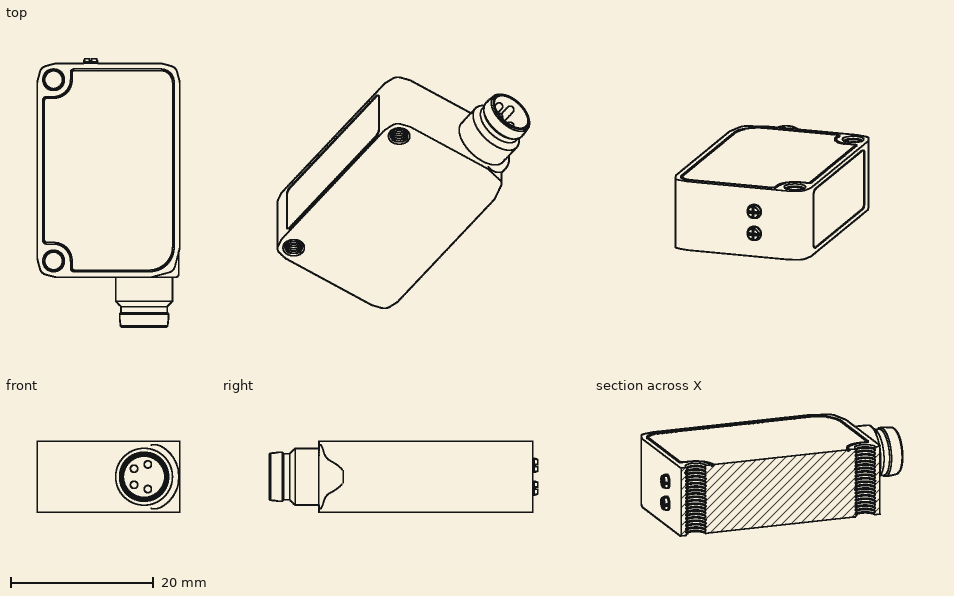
import cadquery as cq
import math

overall_length = 37.65
body_width = 20.0
body_length = 30.0
body_height = 10.0
facet_angle = math.radians(15)
facet_reach = 2.55
connector_facet_reach = 4.05
corner_radius = 1.15
facet_blend_radius = 1.0

left = -body_width / 2
right = body_width / 2
front = -body_length / 2
back = body_length / 2
top = body_height / 2

hole_inset = 2.3
thread_minor_radius = 1.25
thread_major_radius = 1.5
thread_pitch = 0.5
hole_centers = [(left + hole_inset, y) for y in (front + hole_inset, back - hole_inset)]

lid_inset = 0.8
groove_width = 0.23
groove_depth = 0.2
lid_back_radius = 1.9
lid_front_radius = 3.45
lid_notch_radius = 2.37
lid_tip_radius = 0.53

window_length = 22.2
window_height = 8.6
window_center_y = 0.1
window_corner_radius = 0.8
window_depth = 0.1

connector_x = right - body_height / 2
collar_radius = 4.9
collar_depth = 3.4
collar_round = 0.5
barrel_radius = 4.0
neck_radius = 3.255
ring_radius = 3.445
tip_radius = 3.3
rim_radius = 3.12
bore_radius = 2.9
barrel_end = 3.35
neck_start = 4.1
neck_end = 4.95
ring_start = 5.15
ring_end = 5.72
tip_end = 6.78
screw_head_height = 0.68
connector_length = overall_length - body_length - screw_head_height
bore_depth = 3.95

pin_radius = 0.51
pin_circle_radius = 1.8
pin_recess = 0.45
pin_angles = [73, 141, -141, -73]

screw_x = left + 7.5
screw_spacing = 3.2
screw_radius = 0.998
screw_top_radius = 0.83
screw_rim_height = 0.2
slot_width = 0.25
slot_depth = 0.35


def vertical_edges_at(solid, points):
    """Select the vertical edges of a prism that pass through the given XY points."""
    picked = solid.edges("|Z")
    return picked.filter(
        lambda edge: any(math.dist(edge.Center().toTuple()[:2], point) < 0.005 for point in points)
    )


def housing():
    """Prism with two facets and a round in place of each vertical edge."""
    slope = math.tan(facet_angle)
    outline = []
    knees = []
    blends = []
    corners = [
        (-1, -1, facet_reach),
        (1, -1, connector_facet_reach),
        (1, 1, facet_reach),
        (-1, 1, facet_reach),
    ]
    for side_x, side_y, reach in corners:
        corner_x = side_x * right
        corner_y = side_y * back
        knee_inset = reach * slope / (1 + slope)
        knee = (corner_x - side_x * knee_inset, corner_y - side_y * knee_inset)
        on_side = (corner_x, corner_y - side_y * reach)
        on_end = (corner_x - side_x * reach, corner_y)
        enters_from_side = side_x == side_y
        outline += [on_side, knee, on_end] if enters_from_side else [on_end, knee, on_side]
        knees.append(knee)
        if reach == facet_reach:
            blends += [on_side, on_end]
    body = cq.Workplane("XY").polyline(outline).close().extrude(body_height)
    body = body.translate((0, 0, -top))
    body = vertical_edges_at(body, knees).fillet(corner_radius)
    return vertical_edges_at(body, blends).fillet(facet_blend_radius)


def lid_area(shrink):
    """Lid outline, moved inward by `shrink`, as a prism reaching down from the top face."""
    half_x = right - lid_inset - shrink
    half_y = back - lid_inset - shrink
    lid = cq.Workplane("XY").box(2 * half_x, 2 * half_y, groove_depth)
    lid = lid.edges("|Z and >X and >Y").fillet(lid_back_radius - shrink)
    lid = lid.edges("|Z and >X and <Y").fillet(lid_front_radius - shrink)

    notch_radius = lid_notch_radius + shrink
    tips = []
    for x, y in hole_centers:
        side_y = math.copysign(1, y)
        notch = cq.Workplane("XY").box(4 * notch_radius, 4 * notch_radius, groove_depth)
        notch = notch.edges("|Z and >X and " + ("<Y" if y > 0 else ">Y")).fillet(notch_radius)
        lid = lid.cut(notch.translate((x - notch_radius, y + side_y * notch_radius, 0)))
        tips += [(-half_x, y - side_y * notch_radius), (x + notch_radius, side_y * half_y)]
    lid = vertical_edges_at(lid, tips).fillet(lid_tip_radius - shrink)
    return lid.translate((0, 0, top - groove_depth / 2))


def lid_groove():
    return lid_area(0).cut(lid_area(groove_width))


def window():
    """Rounded rectangular recess in the left face."""
    recess = cq.Workplane("XY").box(2 * window_depth, window_length, window_height)
    recess = recess.edges("|X").fillet(window_corner_radius)
    return recess.translate((left, window_center_y, 0))


def threaded_hole(x, y):
    """Through hole with a V-shaped ring for every turn of the thread."""
    turns = round(body_height / thread_pitch)
    ring_pitch = body_height / turns
    profile = [(0, -top), (thread_major_radius, -top)]
    for turn in range(turns):
        start = -top + turn * ring_pitch
        profile.append((thread_minor_radius, start + ring_pitch / 2))
        profile.append((thread_major_radius, start + ring_pitch))
    profile.append((0, top))
    hole = cq.Workplane("XZ").polyline(profile).close().revolve(360, (0, 0), (0, 1))
    return hole.translate((x, y, 0))


def turned_along_y(profile):
    """Revolve a (radius, height) profile about an axis along +Y."""
    return cq.Workplane("XY").polyline(profile).close().revolve(360, (0, 0), (0, 1))


def connector():
    """Collar, stepped plug with a bore, and four contact pins."""
    collar = cq.Workplane("XZ").circle(collar_radius).extrude(-collar_depth)
    collar = collar.faces("<Y").edges().fillet(collar_round)

    bore_floor = connector_length - bore_depth
    outside = [
        (barrel_radius, barrel_end),
        (neck_radius, neck_start),
        (neck_radius, neck_end),
        (ring_radius, ring_start),
        (ring_radius, ring_end),
        (tip_radius, tip_end),
        (rim_radius, connector_length),
    ]
    bore = [
        (bore_radius, connector_length),
        (bore_radius, bore_floor),
    ]
    base = [(0, -collar_depth), (barrel_radius, -collar_depth)]
    profile = base + outside + bore + [(0, bore_floor)]
    plug = turned_along_y([(radius, -distance) for radius, distance in profile])

    part = plug.union(collar)
    pin_tip = connector_length - pin_recess
    for angle in pin_angles:
        x = pin_circle_radius * math.cos(math.radians(angle))
        z = pin_circle_radius * math.sin(math.radians(angle))
        pin = cq.Workplane("XZ").circle(pin_radius).extrude(pin_tip - pin_radius)
        pin = pin.union(cq.Workplane("XY").sphere(pin_radius).translate((0, pin_radius - pin_tip, 0)))
        part = part.union(pin.translate((x, 0, z)))
    return part.translate((connector_x, front, 0))


def screw_head(z):
    """Tapered screw head with a crossed slot."""
    embed = 0.38
    profile = [
        (0, -embed),
        (screw_radius, -embed),
        (screw_radius, screw_rim_height),
        (screw_top_radius, screw_head_height),
        (0, screw_head_height),
    ]
    head = turned_along_y(profile)
    slot = cq.Workplane("XY").box(slot_width, 2 * slot_depth, 2 * screw_radius)
    slot = slot.translate((0, screw_head_height, 0))
    crossed_slot = slot.rotate((0, 0, 0), (0, 1, 0), 90)
    head = head.cut(slot).cut(crossed_slot)
    return head.translate((screw_x, back, z))


result = housing().union(connector())
for z in (-screw_spacing / 2, screw_spacing / 2):
    result = result.union(screw_head(z))
result = result.cut(lid_groove()).cut(window())
for x, y in hole_centers:
    result = result.cut(threaded_hole(x, y))